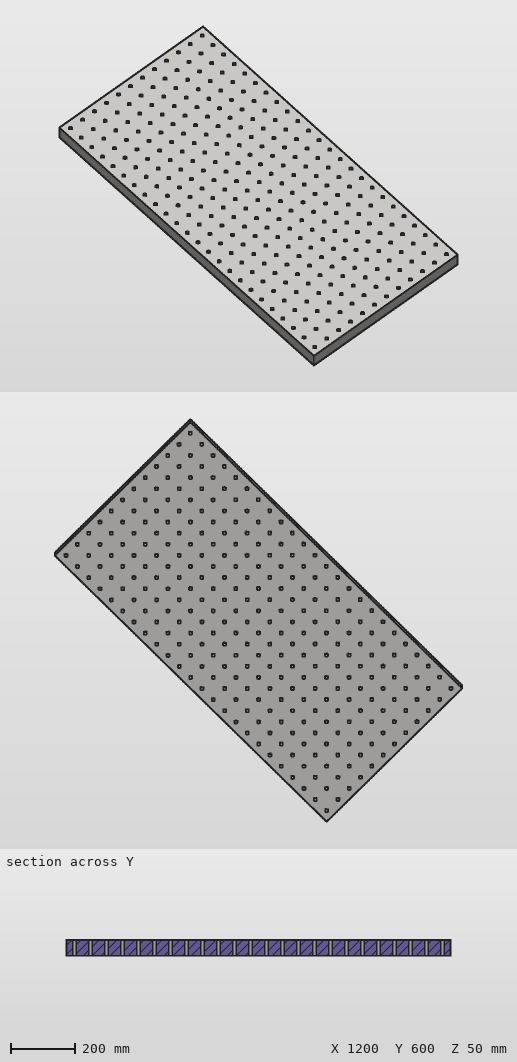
import cadquery as cq

length = 1200.0
width = 600.0
thickness = 50.0

hole_pitch = 50.0
hole_diameter = 10.11
holes_along_length = round(length / hole_pitch)
holes_along_width = round(width / hole_pitch)


def make_plate():
    """Plain rectangular plate standing on Z = 0."""
    return cq.Workplane("XY").box(length, width, thickness, centered=(True, True, False))


def drill_hole_grid(plate):
    """Drill every grid hole straight through the plate."""
    return (
        plate.faces(">Z")
        .workplane(origin=(0, 0, thickness))
        .rarray(hole_pitch, hole_pitch, holes_along_length, holes_along_width)
        .hole(hole_diameter)
    )


result = drill_hole_grid(make_plate())